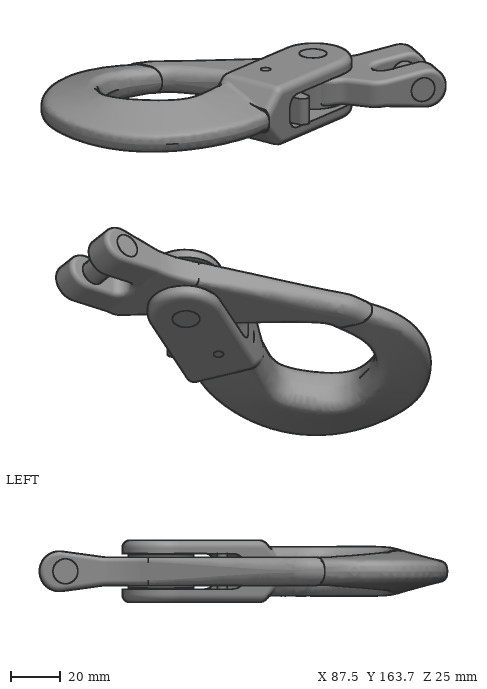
import cadquery as cq
import math


pivot_pin_dia = 11.0
load_pin_dia = 10.0
trigger_pin_dia = 4.0

latch_thickness = 11.4
clevis_left = -11.6
clevis_right = 23.4
clevis_top = 48.75
barrel_radius = 8.1
load_pin_y = 38.3
clevis_slot_x = 6.6
clevis_slot_width = 9.7
clevis_slot_floor = 23.6
taper_end_y = 22.5
taper_blend = 9.0
neck_right = 14.7
neck_corner_y = 14.8
shoulder_y = 17.8
shoulder_foot_y = 7.4
head_arm_joint_y = 5.0
inner_corner_y = 0.8
arm_left = -36.7
arm_right = -21.9
arm_outer_lean = 19.5
arm_inner_lean = 33.6
neck_bend = 40.0
shoulder_bend = 7.5
shoulder_foot_bend = 5.0
hip_bend = 13.0
arm_outer_bend = 16.0
arm_inner_bend = 11.5
head_fillet = 2.0
arm_inner_fillet = 1.2
arm_end_fillet = 5.2
latch_boss_radius = 13.2
latch_boss_height = 1.0
latch_boss_fillet = 0.4

parting_point = (-22.1, -56.6)
parting_angle = 31.8

fork_lean = 31.3
fork_thickness = 25.0
fork_gap = 14.2
fork_radius = 15.05
fork_shift = 0.35
fork_fillet = 3.1
fork_top_end = 40.8
fork_slope_blend = 4.5
fork_gap_end = 35.0
fork_gap_floor_y = -33.7
fork_gap_round = 5.0
fork_slope_foot = 5.0
fork_foot_fillet = 2.0
bowl_center = (-0.4, -67.5)
bowl_inner_radius = 21.5
bowl_outer_radii = {180: 36.8, 200: 39.6, 225: 42.8, 247: 45.2, 270: 47.4, 315: 50.1, 360: 49.9}
bowl_full_section_angle = 315
arm_entry_y = -50.0
arm_entry_outer_radius = 36.3
shank_inner_radius = 20.6
shank_outer_radius = 50.6
shank_turn_inner_radius = 21.2
shank_slides = (10.5, 21.0)

tip_half_crest = 5.7
full_half_crest = 9.8
tip_crest_depth = 5.5
full_crest_depth = 6.0
tip_half_rim = 5.2
full_half_rim = 4.0
tip_rim_depth = 5.2
full_rim_depth = 2.5

trigger_pin_pos = (10.9, -24.5)
trigger_hub_radius = 6.6
trigger_tab_pos = (28.6, -15.4)
trigger_tab_dia = 5.4
trigger_thickness = 11.0

TALL = 400.0
SMALL = 0.01
UP = (0, 1)
DOWN = (0, -1)


def cylinder_z(center, diameter, length):
    """Cylinder along Z, centred on the mid plane."""
    return cq.Workplane("XY").center(*center).circle(diameter / 2).extrude(length / 2, both=True)


def round_ended_slab(ends, diameter, half_height):
    """Upright round-ended slot shape between two points, centred on the mid plane."""
    (x0, y0), (x1, y1) = ends
    length = math.hypot(x1 - x0, y1 - y0)
    angle = math.degrees(math.atan2(y1 - y0, x1 - x0))
    return (
        cq.Workplane("XY")
        .center((x0 + x1) / 2, (y0 + y1) / 2)
        .slot2D(length + diameter, diameter, angle)
        .extrude(half_height, both=True)
    )


pivot_pin = cylinder_z((0, 0), pivot_pin_dia, fork_thickness)
trigger_pin = cylinder_z(trigger_pin_pos, trigger_pin_dia, fork_thickness)
load_pin = (
    cq.Workplane("YZ", origin=(clevis_left, load_pin_y, 0))
    .circle(load_pin_dia / 2)
    .extrude(clevis_right - clevis_left)
)


def parting_half_space():
    """Everything on the hook side of the parting plane."""
    return (
        cq.Workplane("XY")
        .rect(TALL, TALL)
        .extrude(TALL / 2, both=True)
        .translate((0, -TALL / 2, 0))
        .rotate((0, 0, 0), (0, 0, 1), parting_angle)
        .translate((*parting_point, 0))
    )


def round_corner(block, x, y, radius):
    """Round the upright edge of a block nearest to the plan point (x, y)."""
    return block.edges(cq.selectors.NearestToPointSelector((x, y, 0))).fillet(radius)


outer_slope = math.tan(math.radians(arm_outer_lean))
inner_slope = math.tan(math.radians(arm_inner_lean))
neck_joint_x = clevis_left - (neck_corner_y - head_arm_joint_y) * outer_slope


def latch_head():
    plan = [
        (neck_joint_x, head_arm_joint_y),
        (clevis_left, neck_corner_y),
        (clevis_left, clevis_top),
        (clevis_right, clevis_top),
        (clevis_right, shoulder_y),
        (neck_right, shoulder_foot_y),
        (neck_right, head_arm_joint_y),
    ]
    head = cq.Workplane("XY").polyline(plan).close().extrude(barrel_radius, both=True)
    head = round_corner(head, clevis_left, neck_corner_y, neck_bend)
    head = round_corner(head, clevis_right, shoulder_y, shoulder_bend)
    head = round_corner(head, neck_right, shoulder_foot_y, shoulder_foot_bend)

    barrel_y = clevis_top - barrel_radius
    half = latch_thickness / 2
    reach = math.hypot(barrel_y - taper_end_y, half)
    toward_barrel = math.atan2(-half, barrel_y - taper_end_y)
    taper = toward_barrel + math.asin(barrel_radius / reach)
    tangent_y = barrel_y - barrel_radius * math.sin(taper)
    tangent_z = barrel_radius * math.cos(taper)
    profile = (
        cq.Workplane("YZ", origin=(2 * clevis_left, 0, 0))
        .moveTo(head_arm_joint_y, -half)
        .lineTo(taper_end_y, -half)
        .lineTo(tangent_y, -tangent_z)
        .threePointArc((clevis_top, 0), (tangent_y, tangent_z))
        .lineTo(taper_end_y, half)
        .lineTo(head_arm_joint_y, half)
        .close()
        .extrude(TALL)
    )
    for z in (-half, half):
        crease = cq.selectors.NearestToPointSelector((TALL / 2, taper_end_y, z))
        profile = profile.edges(crease).fillet(taper_blend)
    head = head.intersect(profile)

    slot_y = clevis_slot_floor + clevis_slot_width / 2
    slot_ends = [(clevis_slot_x, slot_y), (clevis_slot_x, TALL)]
    slot = round_ended_slab(slot_ends, clevis_slot_width, barrel_radius)
    head = head.cut(slot)

    def is_rim(edge):
        box = edge.BoundingBox()
        upright = box.xlen < SMALL and box.ylen < SMALL
        crosswise = box.ylen < SMALL and box.zlen < SMALL
        on_mid_plane = abs(edge.Center().z) < SMALL and box.zlen < SMALL
        return not (upright or crosswise or on_mid_plane)

    rim = [edge for edge in head.edges().vals() if is_rim(edge)]
    return head.newObject(rim).fillet(head_fillet)


def latch_arm():
    joint_y = head_arm_joint_y
    inner_foot_y = inner_corner_y - (neck_right - arm_right) / inner_slope
    outer_foot_y = neck_corner_y - (clevis_left - arm_left) / outer_slope
    plan = [
        (neck_joint_x, joint_y),
        (neck_right, joint_y),
        (neck_right, inner_corner_y),
        (arm_right, inner_foot_y),
        (arm_right, -TALL / 2),
        (arm_left, -TALL / 2),
        (arm_left, outer_foot_y),
    ]
    arm = cq.Workplane("XY").polyline(plan).close().extrude(latch_thickness / 2, both=True)
    arm = round_corner(arm, neck_right, inner_corner_y, hip_bend)
    arm = round_corner(arm, arm_right, inner_foot_y, arm_inner_bend)
    arm = round_corner(arm, arm_left, outer_foot_y, arm_outer_bend)
    arm = arm.cut(parting_half_space())

    long_edge_spots = [
        ((neck_joint_x + arm_left) / 2, (joint_y + outer_foot_y) / 2),
        ((neck_right + arm_right) / 2, (inner_corner_y + inner_foot_y) / 2),
    ]
    arm_middle_y = (inner_corner_y + inner_foot_y) / 2
    rounding = cq.occ_impl.shapes.BRepFilletAPI_MakeFillet(arm.val().wrapped)
    for x, y in long_edge_spots:
        for z in (-latch_thickness / 2, latch_thickness / 2):
            edge = arm.edges(cq.selectors.NearestToPointSelector((x, y, z))).val()
            rounding.Add(edge.wrapped)
            contour = rounding.NbContours()
            ends = [cq.Vertex(rounding.FirstVertex(contour)), cq.Vertex(rounding.LastVertex(contour))]
            for vertex in ends + edge.Vertices():
                if vertex.Y > joint_y - SMALL:
                    radius = head_fillet
                elif vertex.Y > arm_middle_y:
                    radius = arm_inner_fillet
                else:
                    radius = arm_end_fillet
                rounding.SetRadius(radius, contour, vertex.wrapped)
    return cq.Workplane(cq.Shape.cast(rounding.Shape()))


def latch():
    body = latch_head().union(latch_arm())
    boss_height = latch_thickness + 2 * latch_boss_height
    boss = cylinder_z((0, 0), 2 * latch_boss_radius, boss_height).edges().fillet(latch_boss_fillet)
    body = body.union(boss)
    return body.cut(pivot_pin).cut(load_pin)


def fork():
    """Two cheeks with a round end, built along -Y and then swung to the fork lean."""
    half = fork_thickness / 2
    end = fork_top_end + half - fork_slope_foot
    outline = round_ended_slab([(fork_shift, fork_shift), (fork_shift, -TALL)], 2 * fork_radius, half)
    profile = (
        cq.Workplane("YZ")
        .polyline([
            (TALL, -half),
            (-fork_top_end, -half),
            (-end, -fork_slope_foot),
            (-end, fork_slope_foot),
            (-fork_top_end, half),
            (TALL, half),
        ])
        .close()
        .extrude(TALL, both=True)
    )
    for z in (-half, half):
        crease = cq.selectors.NearestToPointSelector((0, -fork_top_end, z))
        profile = profile.edges(crease).fillet(fork_slope_blend)
    body = outline.intersect(profile)
    body = body.faces("|Z").edges("not(|X)").fillet(fork_fillet)
    return body.rotate((0, 0, 0), (0, 0, 1), fork_lean)


def fork_gap_corner_point():
    """Plan point where the two straight stretches of the gap floor meet."""
    lean = math.radians(fork_lean)
    across = (fork_gap_floor_y + fork_gap_end * math.cos(lean)) / math.sin(lean)
    return (
        fork_gap_end * math.sin(lean) + across * math.cos(lean),
        fork_gap_floor_y,
    )


def fork_gap_cutter():
    """Space between the cheeks, with a floor rounded into both cheeks."""
    half_gap = fork_gap / 2
    box = cq.Workplane("XY").rect(TALL, TALL).extrude(half_gap, both=True)
    above_floor = box.translate((0, fork_gap_floor_y + TALL / 2, 0))
    before_end = box.translate((0, TALL / 2 - fork_gap_end, 0)).rotate((0, 0, 0), (0, 0, 1), fork_lean)
    cutter = above_floor.intersect(before_end)
    floor_edges = []
    for z in (-half_gap, half_gap):
        corner = cq.Vertex.makeVertex(*fork_gap_corner_point(), z)
        rim = cutter.faces("|Z").edges().vals()
        floor_edges += [edge for edge in rim if edge.distance(corner) < SMALL]
    return cutter.newObject(floor_edges).fillet(fork_gap_round)


def blend(start, end, angle):
    """Value that runs evenly from the hook tip to the fully grown bowl section."""
    tip_angle = min(bowl_outer_radii)
    progress = (angle - tip_angle) / (bowl_full_section_angle - tip_angle)
    return start + (end - start) * min(progress, 1)


def bowl_section(angle, slide, inner, outer):
    """Cross section of the bowl, with its thick crest near the inside and a thin rim outside.

    The section plane holds the Z direction and the radial direction at the given angle.
    It is moved along the tangent of the bowl by the slide distance.
    """
    turn = math.radians(angle)
    radial = cq.Vector(math.cos(turn), math.sin(turn), 0)
    forward = cq.Vector(-math.sin(turn), math.cos(turn), 0)
    plane = cq.Plane(cq.Vector(*bowl_center) + forward * slide, radial, forward)

    crest_x = inner + blend(tip_crest_depth, full_crest_depth, angle)
    crest_z = blend(tip_half_crest, full_half_crest, angle)
    rim_x = outer - blend(tip_rim_depth, full_rim_depth, angle)
    rim_z = blend(tip_half_rim, full_half_rim, angle)
    top_slant = (rim_x - crest_x, rim_z - crest_z)
    bottom_slant = (crest_x - rim_x, rim_z - crest_z)
    return (
        cq.Workplane(plane)
        .moveTo(inner, 0)
        .spline(
            [(crest_x, crest_z), (rim_x, rim_z), (outer, 0)],
            tangents=[UP, top_slant, top_slant, DOWN],
            includeCurrent=True,
        )
        .spline(
            [(rim_x, -rim_z), (crest_x, -crest_z), (inner, 0)],
            tangents=[DOWN, bottom_slant, bottom_slant, UP],
            includeCurrent=True,
        )
        .close()
        .val()
    )


def bowl():
    """Smooth loft from the hook tip, round the bowl and up the straight shank."""
    tip_angle = min(bowl_outer_radii)
    shank_angle = 360 + fork_lean
    tip_slide = bowl_center[1] - arm_entry_y
    sections = [bowl_section(tip_angle, tip_slide, bowl_inner_radius, arm_entry_outer_radius)]
    for angle, outer in bowl_outer_radii.items():
        sections.append(bowl_section(angle, 0, bowl_inner_radius, outer))
    sections.append(bowl_section(shank_angle, 0, shank_turn_inner_radius, shank_outer_radius))
    for slide in shank_slides:
        sections.append(bowl_section(shank_angle, slide, shank_inner_radius, shank_outer_radius))
    return cq.Workplane(cq.Solid.makeLoft(sections))


def round_fork_foot(body):
    """Ease the two long creases where the sloped cheek ends run into the bowl."""
    lean = math.radians(fork_lean)
    foot_distance = fork_top_end + (fork_thickness / 2 - full_half_crest)
    foot = (foot_distance * math.sin(lean), -foot_distance * math.cos(lean))
    for side in (1, -1):
        creases = [
            edge for edge in body.edges("%BSPLINE").vals()
            if edge.Center().z * side > fork_slope_foot
            and math.dist(edge.Center().toTuple()[:2], foot) < fork_radius / 2
            and edge.Length() > fork_radius
        ]
        body = body.newObject(creases).fillet(fork_foot_fillet)
    return body


def hook():
    body = bowl().intersect(parting_half_space()).union(fork())
    body = round_fork_foot(body).cut(fork_gap_cutter())
    return body.cut(pivot_pin).cut(trigger_pin)


def tangent_point(center, radius, direction):
    return (center[0] + radius * math.cos(direction), center[1] + radius * math.sin(direction))


def trigger():
    """Flat lever: a hub on its pin that narrows tangentially to a round thumb tab."""
    dx = trigger_tab_pos[0] - trigger_pin_pos[0]
    dy = trigger_tab_pos[1] - trigger_pin_pos[1]
    tab_radius = trigger_tab_dia / 2
    heading = math.atan2(dy, dx)
    spread = math.acos((trigger_hub_radius - tab_radius) / math.hypot(dx, dy))
    left, right = heading + spread, heading - spread
    lever = (
        cq.Workplane("XY")
        .moveTo(*tangent_point(trigger_pin_pos, trigger_hub_radius, right))
        .lineTo(*tangent_point(trigger_tab_pos, tab_radius, right))
        .threePointArc(
            tangent_point(trigger_tab_pos, tab_radius, heading),
            tangent_point(trigger_tab_pos, tab_radius, left),
        )
        .lineTo(*tangent_point(trigger_pin_pos, trigger_hub_radius, left))
        .threePointArc(
            tangent_point(trigger_pin_pos, trigger_hub_radius, heading + math.pi),
            tangent_point(trigger_pin_pos, trigger_hub_radius, right),
        )
        .close()
        .extrude(trigger_thickness / 2, both=True)
    )
    return lever.cut(trigger_pin)


hook_body = hook()
latch_body = latch()
trigger_body = trigger()
result = cq.Compound.makeCompound([
    hook_body.solids().val(),
    latch_body.solids().val(),
    trigger_body.solids().val(),
    pivot_pin.val(),
    load_pin.val(),
    trigger_pin.val(),
])